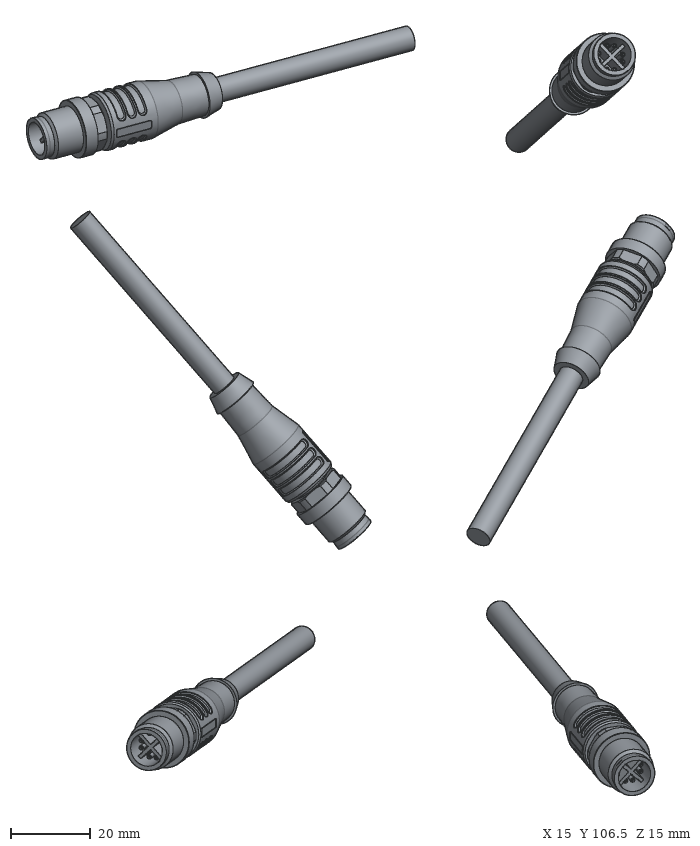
import cadquery as cq
import math


lip_end = 1.0
tip_end = 2.3
shank_start = 3.0
flange_front = 10.1
flange_back = 13.5
nut_back = 16.6
body_front = 17.5
body_back = 30.7
waist = 38.7
collar_front = 46.3
collar_back = 50.6
cable_end = 106.5

tip_radius = 10.8 / 2
tip_root_radius = 5.2
shank_radius = 12.0 / 2
body_radius = 15.0 / 2
neck_radius = 4.8
waist_radius = 11.4 / 2
sleeve_radius = 10.8 / 2
collar_radius = shank_radius
collar_back_radius = 4.8
cable_radius = 6.4 / 2
body_edge_length = 0.6
body_edge_depth = 0.3
flange_chamfer = 0.1

nut_across_flats = 13.0
nut_corner_diameter = 14.0
nut_chamfer = 0.3

grip_count = 3
grip_pitch = 3.0
grip_width = 2.5
grip_depth = 0.5
grip_wall_slope = 0.3
grip_end_height = 2.9
grip_middle = 23.9
pocket_length = 10.0
pocket_width = 2.3
pocket_floor = 7.2
pocket_corner_radius = 0.4

bore_radius = 4.3
bore_depth = 8.5
shield_front = 2.8
shield_width = 1.0
pin_diameter = 0.6
pin_front = 3.7
pin_holder_diameter = 1.2
pin_holder_front = 4.3
pin_embedding = 0.5
pin_near = 1.0
pin_far = 3.1

dimple_diameter = 0.6
dimple_depth = 0.5
dimple_offset = 1.9

key_angle = 135
key_half_angle = 10
key_depth = 0.1
key_clearance = 0.5


def disc_bar(radius, start, end):
    """Solid cylinder on the Y axis from start to end."""
    return cq.Workplane("XZ", origin=(0, start, 0)).circle(radius).extrude(start - end)


def make_shell():
    """Revolved outline of the plug, the strain relief and the cable."""
    outline = [
        (0, 0),
        (tip_radius, 0),
        (tip_radius, lip_end),
        (tip_root_radius, tip_end),
        (shank_radius, shank_start),
        (shank_radius, flange_front),
        (body_radius - flange_chamfer, flange_front),
        (body_radius, flange_front + flange_chamfer),
        (body_radius, flange_back),
        (neck_radius, flange_back),
        (neck_radius, body_front),
        (body_radius - body_edge_depth, body_front),
        (body_radius, body_front + body_edge_length),
        (body_radius, body_back),
        (waist_radius, waist),
        (sleeve_radius, collar_front),
        (collar_radius, collar_front),
        (collar_back_radius, collar_back),
        (cable_radius, collar_back),
        (cable_radius, cable_end),
        (0, cable_end),
    ]
    return cq.Workplane("XY").polyline(outline).close().revolve(360, (0, 0, 0), (0, 1, 0))


def make_nut():
    """Hexagon with flats facing +Z and -Z, its corners turned round and its back edge chamfered."""
    hexagon_diameter = nut_across_flats / math.cos(math.radians(30))
    hexagon = (
        cq.Workplane("XZ", origin=(0, flange_back, 0))
        .polygon(6, hexagon_diameter)
        .extrude(flange_back - nut_back)
    )
    turned = disc_bar(nut_corner_diameter / 2, flange_back, nut_back).faces(">Y").chamfer(nut_chamfer)
    return hexagon.intersect(turned)


def make_grips():
    """Round-ended grooves with sloped walls, wrapped over the top and the bottom of the body."""
    floor_radius = body_radius - grip_depth
    ring = disc_bar(body_radius, body_front, body_back).cut(disc_bar(floor_radius, body_front, body_back))
    slot_length = 2 * body_radius
    slot_middle = grip_end_height + slot_length / 2
    grips = []
    for row in range(grip_count):
        y = grip_middle + (row - (grip_count - 1) / 2) * grip_pitch
        for side in (1, -1):
            slot = (
                cq.Workplane("YZ")
                .center(y, side * slot_middle)
                .slot2D(slot_length, grip_width, 90)
                .extrude(body_radius, both=True)
            )
            groove = ring.intersect(slot)
            floor = groove.faces(cq.selectors.NearestToPointSelector((0, y, 0)))
            grips.append(floor.edges().chamfer(grip_wall_slope))
    return grips


def make_side_pocket(side):
    """Flat-floored pocket facing +X (side = 1) or -X (side = -1)."""
    depth = body_radius - pocket_floor
    return (
        cq.Workplane("XY")
        .box(depth, pocket_length, pocket_width)
        .edges("|X")
        .fillet(pocket_corner_radius)
        .translate((side * (pocket_floor + depth / 2), grip_middle, 0))
    )


def make_dimple():
    """Blind hole in the floor of the bore, beside its centre."""
    hole = disc_bar(dimple_diameter / 2, bore_depth, bore_depth + dimple_depth)
    return hole.translate((dimple_offset, 0, 0))


def make_shield():
    """Diagonal cross that divides the bore into four quarters."""
    length = bore_depth - shield_front
    middle = (bore_depth + shield_front) / 2
    wall = cq.Workplane("XY").box(2 * body_radius, length, shield_width).translate((0, middle, 0))
    cross = wall.rotate((0, 0, 0), (0, 1, 0), 45).union(wall.rotate((0, 0, 0), (0, 1, 0), -45))
    return cross.intersect(disc_bar(bore_radius, shield_front, bore_depth))


def make_pins():
    """A pair of pins on holders in each quarter of the bore."""
    centres = []
    for a in (pin_near, -pin_near):
        for b in (pin_far, -pin_far):
            centres += [(a, b), (b, a)]
    root = bore_depth + pin_embedding
    holders = (
        cq.Workplane("XZ", origin=(0, pin_holder_front, 0))
        .pushPoints(centres)
        .circle(pin_holder_diameter / 2)
        .extrude(pin_holder_front - root)
    )
    pins = (
        cq.Workplane("XZ", origin=(0, pin_front, 0))
        .pushPoints(centres)
        .circle(pin_diameter / 2)
        .extrude(pin_front - root)
    )
    return holders.union(pins)


def make_key_groove(radius, start, end):
    """V groove along the surface of a cylinder of the given radius."""

    def point(distance, angle):
        turn = math.radians(angle)
        return (distance * math.cos(turn), distance * math.sin(turn))

    outer = radius + key_clearance
    corners = [
        point(radius - key_depth, key_angle),
        point(radius, key_angle + key_half_angle),
        point(outer, key_angle + key_half_angle),
        point(outer, key_angle - key_half_angle),
        point(radius, key_angle - key_half_angle),
    ]
    return cq.Workplane("XZ", origin=(0, start, 0)).polyline(corners).close().extrude(start - end)


plug = make_shell().union(make_nut())
for grip in make_grips():
    plug = plug.cut(grip)
for side in (1, -1):
    plug = plug.cut(make_side_pocket(side))
plug = plug.cut(make_key_groove(tip_radius, 0, lip_end))
plug = plug.cut(make_key_groove(neck_radius, nut_back, body_front))
plug = plug.cut(disc_bar(bore_radius, 0, bore_depth))
plug = plug.cut(make_dimple())
plug = plug.union(make_shield())
result = plug.union(make_pins())